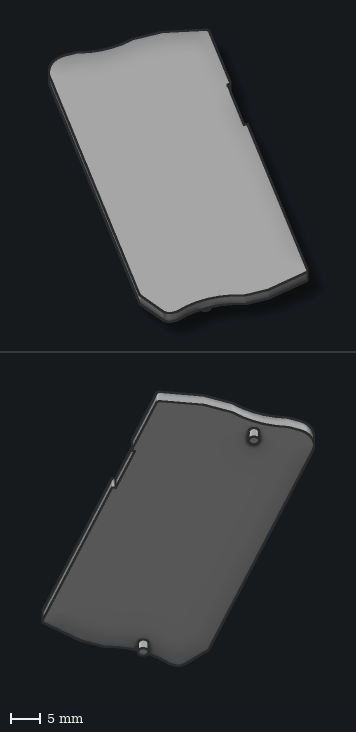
import cadquery as cq
import math

length = 60.4
width = 29.0
plate_thickness = 2.3
pin_length = 2.1

pin_diameter = 1.8
pin_y = 11.0
pin_xs = (3.1, 57.25)

taper_start_y = 21.25
taper_inset = 1.9

notch_left = 14.55
notch_right = 23.9
notch_depth = 0.6

scoop_radius = 16.3
left_scoop_depth = 0.8
right_scoop_depth = 1.15

slant_start_x = 54.95
slant_angle = 30.0

lower_left_radius = 3.9
lower_right_radius = 1.7
upper_radius = 0.6
notch_radius = 0.25
blend_radius = 1.2


def scoop_half_height(depth):
    """Half the chord of a scoop of the given depth."""
    return math.sqrt(scoop_radius**2 - (scoop_radius - depth) ** 2)


left_half = scoop_half_height(left_scoop_depth)
right_half = scoop_half_height(right_scoop_depth)
slant_end_y = (length - slant_start_x) * math.tan(math.radians(slant_angle))
notch_floor_y = width - notch_depth

lower_left = (0, 0)
slant_start = (slant_start_x, 0)
slant_end = (length, slant_end_y)
right_scoop_bottom = (length, pin_y - right_half)
right_scoop_top = (length, pin_y + right_half)
right_taper = (length, taper_start_y)
upper_right = (length - taper_inset, width)
notch_right_top = (notch_right, width)
notch_left_top = (notch_left, width)
upper_left = (taper_inset, width)
left_taper = (0, taper_start_y)
left_scoop_top = (0, pin_y + left_half)
left_scoop_bottom = (0, pin_y - left_half)

plate = (
    cq.Workplane("XY")
    .moveTo(*lower_left)
    .lineTo(*slant_start)
    .lineTo(*slant_end)
    .lineTo(*right_scoop_bottom)
    .threePointArc((length - right_scoop_depth, pin_y), right_scoop_top)
    .lineTo(*right_taper)
    .lineTo(*upper_right)
    .lineTo(*notch_right_top)
    .lineTo(notch_right, notch_floor_y)
    .lineTo(notch_left, notch_floor_y)
    .lineTo(*notch_left_top)
    .lineTo(*upper_left)
    .lineTo(*left_taper)
    .lineTo(*left_scoop_top)
    .threePointArc((left_scoop_depth, pin_y), left_scoop_bottom)
    .close()
    .extrude(plate_thickness)
)


def round_corners(body, corners, radius):
    """Round the upright edges of the plate at the given outline corners."""
    edges = cq.Workplane("XY")
    for x, y in corners:
        nearest = cq.selectors.NearestToPointSelector((x, y, plate_thickness / 2))
        edges = edges.add(body.edges("|Z").edges(nearest))
    return body.newObject(edges.vals()).fillet(radius)


plate = round_corners(plate, [lower_left], lower_left_radius)
plate = round_corners(plate, [slant_end], lower_right_radius)
plate = round_corners(plate, [upper_left, upper_right], upper_radius)
plate = round_corners(plate, [notch_left_top, notch_right_top], notch_radius)
blended_corners = [
    slant_start,
    right_scoop_bottom,
    right_scoop_top,
    right_taper,
    left_taper,
    left_scoop_top,
    left_scoop_bottom,
]
plate = round_corners(plate, blended_corners, blend_radius)

pins = (
    cq.Workplane("XY", origin=(0, 0, -pin_length))
    .pushPoints([(x, pin_y) for x in pin_xs])
    .circle(pin_diameter / 2)
    .extrude(pin_length + plate_thickness)
)

result = plate.union(pins)